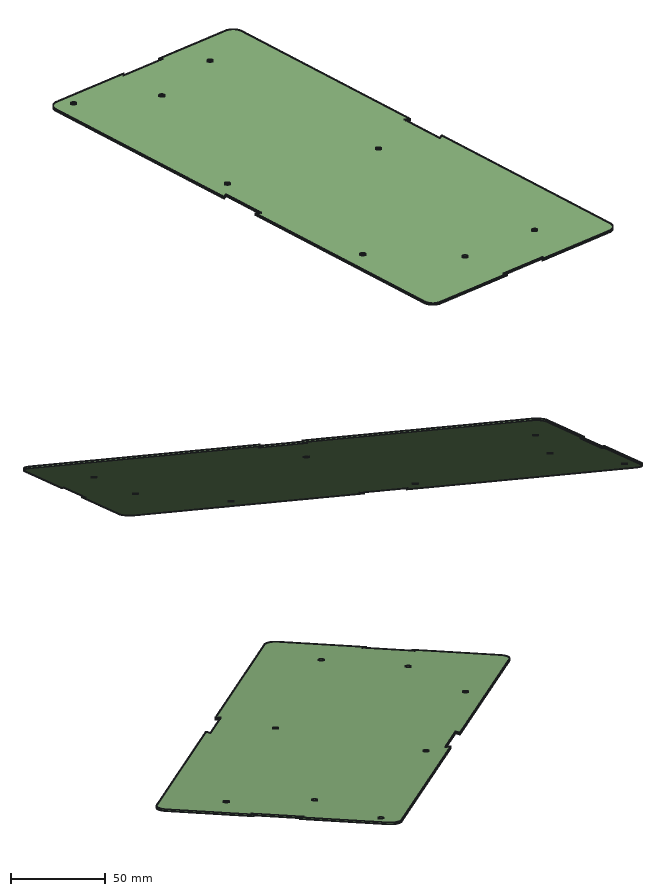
import cadquery as cq

LENGTH = 303.0
WIDTH = 131.8
THICKNESS = 1.1
CORNER_RADIUS = 6.0

NOTCH_MOUTH = 24.8
NOTCH_FLOOR = 28.2
LONG_EDGE_DEPTH = 2.7
SHORT_EDGE_DEPTH = 1.5
FRONT_NOTCH_SHIFT = -0.3

HOLE_DIAMETER = 3.0
BACK_ROW_Y = 31.2
FRONT_ROW_Y = -54.5
HOLE_CENTERS = [
    (-131.8, BACK_ROW_Y),
    (1.2, BACK_ROW_Y),
    (124.5, BACK_ROW_Y),
    (-119.7, -14.0),
    (122.0, -16.0),
    (-144.2, FRONT_ROW_Y),
    (-22.7, FRONT_ROW_Y),
    (84.2, FRONT_ROW_Y),
]


def edge_notch(edge_distance, depth, angle, shift=0.0):
    """Dovetail cutter on the +Y edge, moved along it by shift, then turned about Z."""
    floor_y = edge_distance - depth
    outline = [
        (shift - NOTCH_MOUTH / 2, edge_distance),
        (shift - NOTCH_FLOOR / 2, floor_y),
        (shift + NOTCH_FLOOR / 2, floor_y),
        (shift + NOTCH_MOUTH / 2, edge_distance),
    ]
    cutter = cq.Workplane("XY").polyline(outline).close().extrude(THICKNESS)
    return cutter.rotate((0, 0, 0), (0, 0, 1), angle)


plate = cq.Workplane("XY").rect(LENGTH, WIDTH).extrude(THICKNESS)
plate = plate.edges("|Z").fillet(CORNER_RADIUS)

plate = plate.cut(edge_notch(WIDTH / 2, LONG_EDGE_DEPTH, 0))
plate = plate.cut(edge_notch(WIDTH / 2, LONG_EDGE_DEPTH, 180, -FRONT_NOTCH_SHIFT))

for turn in (90, -90):
    plate = plate.cut(edge_notch(LENGTH / 2, SHORT_EDGE_DEPTH, turn))

result = plate.faces(">Z").workplane(origin=(0, 0, 0)).pushPoints(HOLE_CENTERS).hole(HOLE_DIAMETER)